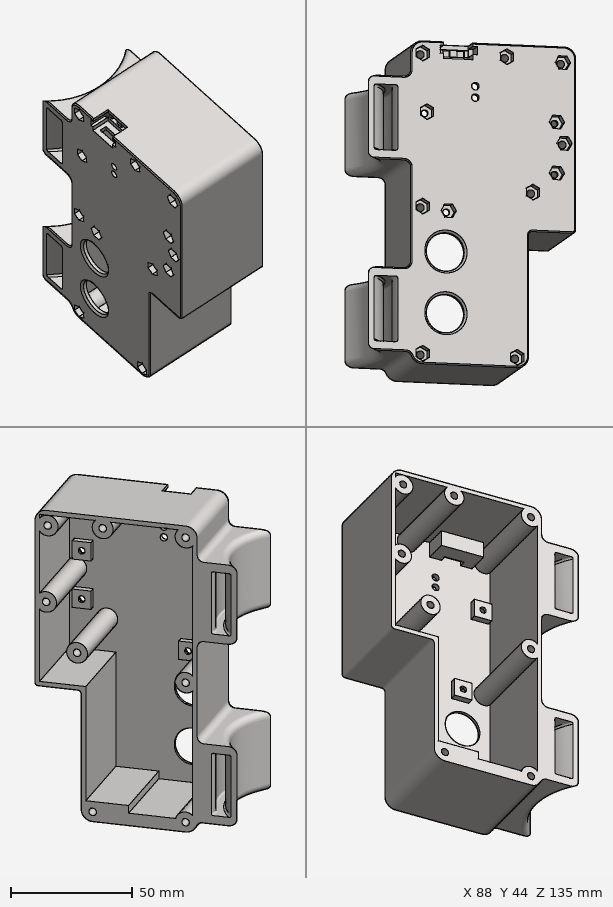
import cadquery as cq
import math

height = 135.0
width = 88.0
depth = 44.0

body_left = 18.0
lower_right = 68.0
step_z = 57.2
corner_radius = 5.0
step_outer_radius = 1.5
step_inner_radius = 1.5
front_chamfer = 0.5

saddle_bottoms = (4.9, 84.9)
saddle_height = 35.0
saddle_root_radius = 3.0
saddle_edge_radius = 3.0
tube_radius = 32.5
tube_x = -23.6
tube_y = 22.5

channel_inner_radius = 34.4
channel_outer_radius = 38.6
channel_margin = 3.8
channel_edge_radius = 0.8
mouth_radius = 8.0
mouth_x = 19.2

plate_thickness = 2.4
wall = 2.0
cavity_floor = 5.5
shelf_top = 8.9
shelf_left = 47.5

nut_corners = 6.5
nut_depth = 4.0
large_screw = 3.2
small_screw = 2.8
large_boss = 9.0
small_pad_side = 8.1
small_pad_end = 5.4

large_screws = (
    (23.0, 129.9, True),
    (58.7, 129.9, True),
    (82.5, 128.4, False),
    (83.2, 94.6, False),
    (69.8, 73.7, True),
    (23.0, 65.9, True),
    (23.0, 4.3, True),
    (63.0, 4.3, True),
)
small_screws = (
    (24.8, 105.5, True),
    (79.9, 103.4, False),
    (79.9, 82.1, False),
    (34.0, 64.4, False),
)

port_diameter = 16.0
port_rim_diameter = 18.0
ports = ((32.8, 47.2), (32.8, 21.5))
lamp_diameter = 3.1
lamps = ((45.4, 116.9), (45.4, 112.2))

recess_left, recess_right = 31.9, 44.3
recess_depth = 8.1
recess_floor = 128.0
groove_left, groove_right = 30.5, 46.2
groove_bottom, groove_top = 130.1, 133.5
groove_depth = 7.5
pin_niche_depth = 8.8
pin_niche_top = 133.1
plug_left, plug_right = 33.8, 42.7
plug_front, plug_back = 2.4, 5.4
pin_pockets = ((33.8, 36.7), (39.7, 42.9))
pin_depth = 2.0
recess_wall = 2.0

overshoot = 1.4


def box(x0, x1, y0, y1, z0, z1):
    """Box between two opposite corners."""
    return cq.Workplane("XY").box(x1 - x0, y1 - y0, z1 - z0, centered=False).translate((x0, y0, z0))


def front_sketch(y=0.0):
    """Workplane parallel to the front face; extruding by a negative length goes into the part."""
    return cq.Workplane("XZ", origin=(0, y, 0))


def rod(x, z, diameter, y0, y1):
    """Round bar along Y."""
    return front_sketch(y0).center(x, z).circle(diameter / 2).extrude(y0 - y1)


def outline_block():
    """Whole outline at full depth, with the saddle ends still square."""
    low, high = saddle_bottoms
    end = -overshoot
    r = corner_radius
    root_z = low - saddle_root_radius
    corner_x = body_left + r
    reach = r + saddle_root_radius
    root_x = corner_x - math.sqrt(reach**2 - (r - root_z) ** 2)
    blend_x = corner_x + (root_x - corner_x) * r / reach
    blend_z = r + (root_z - r) * r / reach
    block = (
        front_sketch()
        .moveTo(end, low)
        .lineTo(root_x, low)
        .radiusArc((blend_x, blend_z), saddle_root_radius)
        .radiusArc((corner_x, 0), -r)
        .lineTo(lower_right, 0)
        .lineTo(lower_right, step_z)
        .lineTo(width, step_z)
        .lineTo(width, height)
        .lineTo(body_left, height)
        .lineTo(body_left, high + saddle_height)
        .lineTo(end, high + saddle_height)
        .lineTo(end, high)
        .lineTo(body_left, high)
        .lineTo(body_left, low + saddle_height)
        .lineTo(end, low + saddle_height)
        .close()
        .extrude(-depth)
    )
    rounded_corners = (
        (lower_right, 0, corner_radius),
        (lower_right, step_z, step_inner_radius),
        (width, step_z, step_outer_radius),
        (width, height, corner_radius),
        (body_left, height, corner_radius),
        (body_left, high + saddle_height, saddle_root_radius),
        (body_left, high, saddle_root_radius),
        (body_left, low + saddle_height, saddle_root_radius),
    )
    for x, z, radius in rounded_corners:
        corner = cq.selectors.NearestToPointSelector((x, depth / 2, z))
        block = block.edges("|Y").edges(corner).fillet(radius)
    return block.faces("<Y").edges().chamfer(front_chamfer)


def saddle_cutter():
    """Tube-shaped cut that also rounds the upper and lower edges of the saddles."""
    axis = (tube_x, tube_y, 0)
    reach = tube_radius + saddle_edge_radius
    cutter = cq.Workplane("XY", origin=axis).circle(reach).extrude(height)
    for bottom in saddle_bottoms:
        kept = (
            cq.Workplane("XY", origin=(tube_x, tube_y, bottom))
            .circle(reach + saddle_edge_radius)
            .circle(tube_radius)
            .extrude(saddle_height)
            .edges(cq.selectors.RadiusNthSelector(0))
            .fillet(saddle_edge_radius)
        )
        cutter = cutter.cut(kept)
    return cutter


def strap_channel(bottom):
    """Curved slot around the tube, widened towards the front and the back."""
    z0 = bottom + channel_margin
    length = saddle_height - 2 * channel_margin
    lip_offset = math.sqrt((channel_outer_radius + mouth_radius) ** 2 - (mouth_x - tube_x) ** 2)
    plan = cq.Workplane("XY", origin=(0, 0, z0))
    slot = plan.center(tube_x, tube_y).circle(channel_outer_radius).extrude(length)
    for side in (-1, 1):
        lip_y = tube_y + side * lip_offset
        share = channel_outer_radius / (channel_outer_radius + mouth_radius)
        touch = (tube_x + (mouth_x - tube_x) * share, tube_y + side * lip_offset * share)
        mouth = (
            plan.moveTo(0, touch[1])
            .lineTo(*touch)
            .lineTo(mouth_x, lip_y)
            .lineTo(mouth_x, lip_y + side * mouth_radius)
            .lineTo(0, lip_y + side * mouth_radius)
            .close()
            .extrude(length)
        )
        lip = plan.center(mouth_x, lip_y).circle(mouth_radius).extrude(length)
        slot = slot.union(mouth.cut(lip))
    core = plan.center(tube_x, tube_y).circle(channel_inner_radius).extrude(length)
    limits = box(0, mouth_x, -overshoot, depth + overshoot, 0, height)
    slot = slot.cut(core).intersect(limits)
    return slot.faces("<Z or >Z").edges("not <X").fillet(channel_edge_radius)


def cavity():
    """Hollow behind the front plate, open at the back."""
    lower = box(body_left + wall, lower_right - wall, plate_thickness, depth, cavity_floor, height - wall)
    upper = box(body_left + wall, width - wall, plate_thickness, depth, step_z + wall, height - wall)
    shelf = box(shelf_left, lower_right, plate_thickness, depth, 0, shelf_top)
    return lower.cut(shelf).union(upper)


def nut_pocket(x, z, points_up):
    """Hexagonal pocket with a corner along Z when it points up, otherwise along X."""
    turn = 90 if points_up else 0
    pocket = front_sketch().polygon(6, nut_corners).extrude(-nut_depth)
    return pocket.rotate((0, 0, 0), (0, 1, 0), turn).translate((x, 0, z))


def port(x, z):
    """Round opening with a conical rim."""
    rim = (port_rim_diameter - port_diameter) / 2
    cone = front_sketch().center(x, z).circle(port_rim_diameter / 2).extrude(-rim, taper=45)
    return cone.union(rod(x, z, port_diameter, 0, plate_thickness))


def recess():
    """Connector recess with side grooves, a pin niche at the back and a plug slot in its floor."""
    cut = box(recess_left, recess_right, 0, recess_depth, recess_floor, height)
    groove = box(groove_left, groove_right, 0, groove_depth, groove_bottom, groove_top)
    niche = box(recess_left, recess_right, 0, pin_niche_depth, groove_bottom, pin_niche_top)
    plug = box(plug_left, plug_right, plug_front, plug_back, recess_floor - recess_wall, recess_floor)
    cut = cut.union(groove).union(niche).union(plug)
    pin_end = pin_niche_depth + pin_depth
    for left, right in pin_pockets:
        cut = cut.union(box(left, right, recess_depth, pin_end, groove_bottom, pin_niche_top))
    return cut


envelope = outline_block()
housing = envelope.cut(cavity())

for x, z, _ in large_screws:
    housing = housing.union(rod(x, z, large_boss, front_chamfer, depth).intersect(envelope))
for x, z, _ in small_screws:
    half = small_pad_side / 2
    housing = housing.union(box(x - half, x + half, front_chamfer, small_pad_end, z - half, z + half))
recess_housing = box(groove_left - recess_wall, groove_right + recess_wall,
                     front_chamfer, pin_niche_depth + pin_depth + recess_wall,
                     recess_floor - recess_wall, height - front_chamfer)
housing = housing.union(recess_housing)

for screws, diameter in ((large_screws, large_screw), (small_screws, small_screw)):
    for x, z, points_up in screws:
        housing = housing.cut(rod(x, z, diameter, 0, depth))
        housing = housing.cut(nut_pocket(x, z, points_up))
for x, z in ports:
    housing = housing.cut(port(x, z))
for x, z in lamps:
    housing = housing.cut(rod(x, z, lamp_diameter, 0, plate_thickness))
housing = housing.cut(recess())

housing = housing.cut(saddle_cutter()).intersect(box(0, width, 0, depth, 0, height))
for bottom in saddle_bottoms:
    housing = housing.cut(strap_channel(bottom))

result = housing